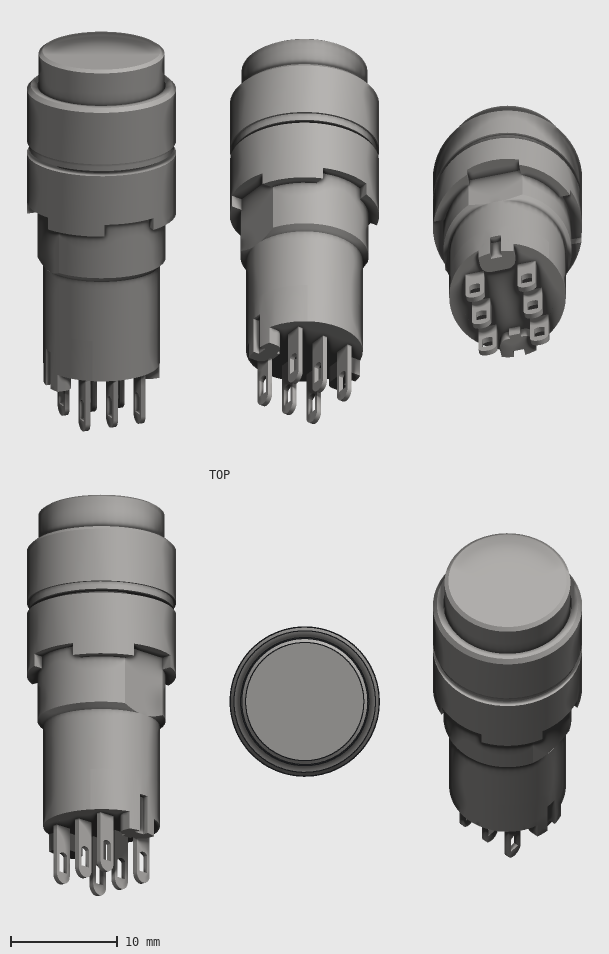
import cadquery as cq

HEIGHT = 36.5

CAP_R = 5.9
CAP_EDGE_WIDTH = 0.35
CAP_EDGE_DROP = 0.25
CAP_SEAT_DEPTH = 1.82
CAP_CLEARANCE = 0.1

BEZEL_R = 7.0
BEZEL_CHAMFER = 0.35
BEZEL_TOP = HEIGHT - 3.43
FLANGE_R = 6.8
FLANGE_TOP = HEIGHT - 8.9
FLANGE_BOTTOM = HEIGHT - 9.65
BARREL_R = 6.02
BARREL_BOTTOM = HEIGHT - 21.05
FLAT_OFFSET = 5.45
STEM_R = 5.48
STEM_BOTTOM = HEIGHT - 30.9
BARREL_CHAMFER = BARREL_R - STEM_R

NUT_R = BEZEL_R
NUT_TOP = HEIGHT - 10.07
NUT_BOTTOM = HEIGHT - 16.05
NOTCH_WIDTH = 5.0
NOTCH_DEPTH = 1.15

BASE_TOP = HEIGHT - 26.95
PLUG_R = 4.38
WING_INNER_Y = 2.92
TAB_BOTTOM = HEIGHT - 32.6
TAB_WIDTH = 3.35
TAB_INNER_Y = 3.55
TAB_CORNER_R = 0.88
KEYWAY_WIDTH = 1.05
KEYWAY_TOP = HEIGHT - 28.98
KEYWAY_DEPTH = 0.62
RIB_WIDTH = 1.05
RIB_PROJECTION = 0.33

TERMINAL_WIDTH = 1.75
TERMINAL_THICKNESS = 0.47
TERMINAL_X = 2.5
TERMINAL_ROW_PITCH = 2.8
EYE_WIDTH = 1.02
EYE_BOTTOM = 1.05
EYE_TOP = 3.03
EYE_ARCH_RISE = 0.25


def cylinder(radius, bottom, top):
    """Solid cylinder on the Z axis between two heights."""
    return cq.Workplane("XY").workplane(offset=bottom).circle(radius).extrude(top - bottom)


def block(x_limits, y_limits, z_limits):
    """Box between the given limits on each axis."""
    low, high = zip(x_limits, y_limits, z_limits)
    size = [b - a for a, b in zip(low, high)]
    return cq.Workplane("XY").box(*size, centered=False).translate(low)


def barrel():
    """Barrel with a flat on the front and the back, chamfered down to the stem."""
    body = cylinder(BARREL_R, BARREL_BOTTOM, BEZEL_TOP - CAP_SEAT_DEPTH)
    body = body.faces("<Z").chamfer(BARREL_CHAMFER)
    between_flats = block(
        (-BARREL_R, BARREL_R), (-FLAT_OFFSET, FLAT_OFFSET), (BARREL_BOTTOM, BEZEL_TOP)
    )
    return body.intersect(between_flats)


def wings():
    """Front and back segments of the stem outline, outside the two WING_INNER_Y planes."""
    middle = block((-STEM_R, STEM_R), (-WING_INNER_Y, WING_INNER_Y), (STEM_BOTTOM, BASE_TOP))
    return cylinder(STEM_R, STEM_BOTTOM, BASE_TOP).cut(middle)


def base_core():
    """Round plug with the two wings; it fills the socket in the end of the stem."""
    return cylinder(PLUG_R, STEM_BOTTOM, BASE_TOP).union(wings())


def make_cap():
    cap = cylinder(CAP_R, BEZEL_TOP - CAP_SEAT_DEPTH, HEIGHT)
    return cap.faces(">Z").chamfer(CAP_EDGE_DROP, CAP_EDGE_WIDTH)


def make_housing():
    bezel = cylinder(BEZEL_R, FLANGE_TOP, BEZEL_TOP).faces(">Z").chamfer(BEZEL_CHAMFER)
    flange = cylinder(FLANGE_R, FLANGE_BOTTOM, FLANGE_TOP)
    stem = cylinder(STEM_R, STEM_BOTTOM, BARREL_BOTTOM)
    cap_seat = cylinder(CAP_R + CAP_CLEARANCE, BEZEL_TOP - CAP_SEAT_DEPTH, BEZEL_TOP)
    housing = bezel.union(flange).union(barrel()).union(stem)
    return housing.cut(cap_seat).cut(base_core())


def make_nut():
    """Ring that fits the flatted barrel, with four wrench notches in its lower edge."""
    nut = cylinder(NUT_R, NUT_BOTTOM, NUT_TOP).cut(barrel())
    half = NOTCH_WIDTH / 2
    notch_z = (NUT_BOTTOM, NUT_BOTTOM + NOTCH_DEPTH)
    nut = nut.cut(block((-half, half), (-NUT_R, NUT_R), notch_z))
    return nut.cut(block((-NUT_R, NUT_R), (-half, half), notch_z))


def front_tab():
    """Tab under the front wing, with rounded inner corners."""
    tab = block(
        (-TAB_WIDTH / 2, TAB_WIDTH / 2), (-STEM_R, -TAB_INNER_Y), (TAB_BOTTOM, STEM_BOTTOM)
    )
    tab = tab.edges("|Z and >Y").fillet(TAB_CORNER_R)
    return tab.intersect(cylinder(STEM_R, TAB_BOTTOM, STEM_BOTTOM))


def keyway():
    """Slot up the outer face of the front tab and wing."""
    return block(
        (-KEYWAY_WIDTH / 2, KEYWAY_WIDTH / 2),
        (-STEM_R, KEYWAY_DEPTH - STEM_R),
        (TAB_BOTTOM, KEYWAY_TOP),
    )


def back_rib():
    """Small rib on the inner face of the back tab."""
    return block(
        (-RIB_WIDTH / 2, RIB_WIDTH / 2),
        (TAB_INNER_Y - RIB_PROJECTION, TAB_INNER_Y),
        (TAB_BOTTOM, STEM_BOTTOM),
    )


def terminal(x, y):
    """Flat blade with a round tip and an arched eye, hanging from the base."""
    tip_r = TERMINAL_WIDTH / 2
    blade = (
        cq.Workplane("XZ")
        .moveTo(-tip_r, STEM_BOTTOM)
        .lineTo(-tip_r, tip_r)
        .threePointArc((0, 0), (tip_r, tip_r))
        .lineTo(tip_r, STEM_BOTTOM)
        .close()
        .extrude(TERMINAL_THICKNESS / 2, both=True)
    )
    eye_side = EYE_WIDTH / 2
    eye = (
        cq.Workplane("XZ")
        .moveTo(-eye_side, EYE_BOTTOM)
        .lineTo(-eye_side, EYE_TOP - EYE_ARCH_RISE)
        .threePointArc((0, EYE_TOP), (eye_side, EYE_TOP - EYE_ARCH_RISE))
        .lineTo(eye_side, EYE_BOTTOM)
        .close()
        .extrude(TERMINAL_THICKNESS / 2, both=True)
    )
    return blade.cut(eye).translate((x, y, 0))


def make_base():
    tab = front_tab()
    slot = keyway()
    base = base_core().union(tab).union(tab.mirror("XZ")).union(back_rib())
    base = base.cut(slot).cut(slot.mirror("XZ"))
    for x in (-TERMINAL_X, TERMINAL_X):
        for row in (-1, 0, 1):
            base = base.union(terminal(x, row * TERMINAL_ROW_PITCH))
    return base


cap = make_cap()
housing = make_housing()
nut = make_nut()
base = make_base()

result = cq.Compound.makeCompound([cap.val(), housing.val(), nut.val(), base.val()])